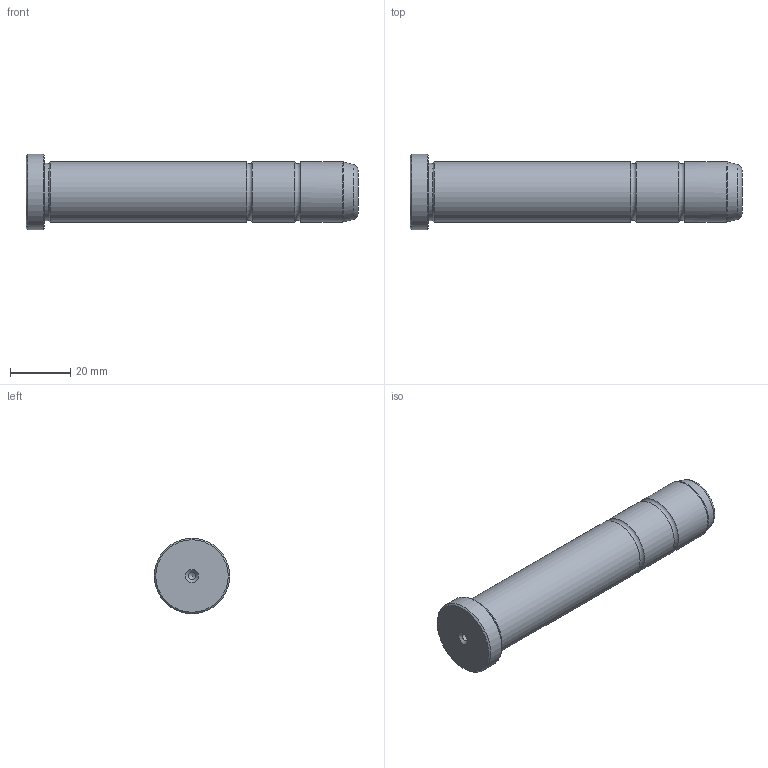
import cadquery as cq
import math

LENGTH = 110.0
HEAD_DIAMETER = 25.0
SHAFT_DIAMETER = 20.0
HEAD_RADIUS = HEAD_DIAMETER / 2
SHAFT_RADIUS = SHAFT_DIAMETER / 2

HEAD_LENGTH = 6.0
HEAD_FACE_CHAMFER = 0.5
HEAD_BACK_CHAMFER = 0.3

NECK_LENGTH = 2.0
NECK_DEPTH = 0.5

NOSE_LENGTH = 5.0
NOSE_ANGLE = 15.0
TIP_FILLET = 2.0
NOSE_BLEND_RADIUS = 1.5

GROOVE_WIDTH = 2.0
GROOVE_DEPTH = 0.7
GROOVE_PITCH = 16.0
FIRST_GROOVE_CENTER = 74.0
GROOVE_COUNT = 2

COUNTERSINK_DIAMETER = 4.25
COUNTERSINK_ANGLE = 90.0
PILOT_DIAMETER = 2.5
PILOT_LENGTH = 2.5
DRILL_TIP_ANGLE = 120.0


def revolve_about_x(profile):
    """Turn a closed XY profile that touches the X axis into a solid of revolution."""
    return profile.close().revolve(360, (0, 0, 0), (1, 0, 0))


def cone_length(radius_change, included_angle):
    """Axial length over which a cone changes radius by the given amount."""
    return radius_change / math.tan(math.radians(included_angle / 2))


def pin_body():
    """Headed pin with its relief neck and rounded nose."""
    neck_radius = SHAFT_RADIUS - NECK_DEPTH
    shaft_start = HEAD_LENGTH + NECK_LENGTH
    nose_start = LENGTH - NOSE_LENGTH
    tip_radius = SHAFT_RADIUS - NOSE_LENGTH * math.tan(math.radians(NOSE_ANGLE))
    profile = (
        cq.Workplane("XY")
        .moveTo(0, 0)
        .lineTo(0, HEAD_RADIUS - HEAD_FACE_CHAMFER)
        .lineTo(HEAD_FACE_CHAMFER, HEAD_RADIUS)
        .lineTo(HEAD_LENGTH - HEAD_BACK_CHAMFER, HEAD_RADIUS)
        .lineTo(HEAD_LENGTH, HEAD_RADIUS - HEAD_BACK_CHAMFER)
        .lineTo(HEAD_LENGTH, neck_radius)
        .lineTo(shaft_start - NECK_DEPTH, neck_radius)
        .lineTo(shaft_start, SHAFT_RADIUS)
        .lineTo(nose_start, SHAFT_RADIUS)
        .lineTo(LENGTH, tip_radius)
        .lineTo(LENGTH, 0)
    )
    body = revolve_about_x(profile)
    nose_base = cq.selectors.NearestToPointSelector((nose_start, 0, 0))
    body = body.edges("%CIRCLE").edges(nose_base).fillet(NOSE_BLEND_RADIUS)
    return body.faces(">X").edges().fillet(TIP_FILLET)


def oil_groove(center_x):
    """Torus whose inner side sinks a circular-arc groove into the shaft."""
    half_width = GROOVE_WIDTH / 2
    arc_radius = (half_width**2 + GROOVE_DEPTH**2) / (2 * GROOVE_DEPTH)
    ring_radius = SHAFT_RADIUS - GROOVE_DEPTH + arc_radius
    ring = cq.Solid.makeTorus(ring_radius, arc_radius, cq.Vector(center_x, 0, 0), cq.Vector(1, 0, 0))
    return cq.Workplane("XY").add(ring)


def center_hole():
    """Cutter for the blind centre hole in the head face."""
    mouth_radius = COUNTERSINK_DIAMETER / 2
    pilot_radius = PILOT_DIAMETER / 2
    pilot_start = cone_length(mouth_radius - pilot_radius, COUNTERSINK_ANGLE)
    pilot_end = pilot_start + PILOT_LENGTH
    tip = pilot_end + cone_length(pilot_radius, DRILL_TIP_ANGLE)
    profile = (
        cq.Workplane("XY")
        .moveTo(0, 0)
        .lineTo(0, mouth_radius)
        .lineTo(pilot_start, pilot_radius)
        .lineTo(pilot_end, pilot_radius)
        .lineTo(tip, 0)
    )
    return revolve_about_x(profile)


result = pin_body()
for groove_index in range(GROOVE_COUNT):
    result = result.cut(oil_groove(FIRST_GROOVE_CENTER + groove_index * GROOVE_PITCH))
result = result.cut(center_hole())